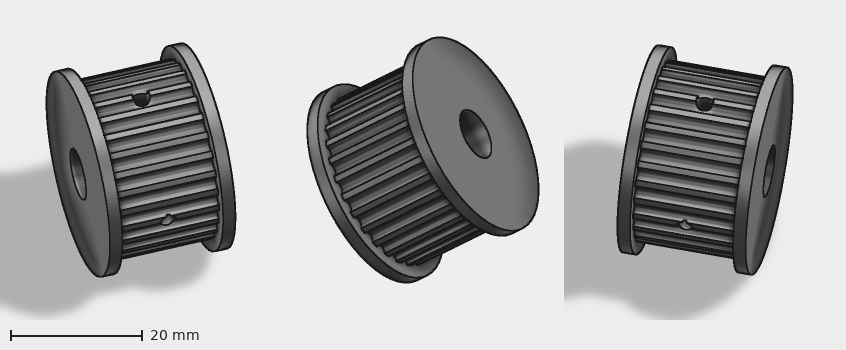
import cadquery as cq

flange_diameter = 32.0
pulley_width = 20.0
flange_thickness = 2.0
bore_diameter = 8.0

tooth_count = 29
rim_diameter = 28.0
groove_radius = 1.0

screw_hole_diameter = 2.62

rim_width = pulley_width - 2 * flange_thickness
tooth_pitch_angle = 360 / tooth_count


def centered_cylinder(diameter, width):
    """Cylinder along Y, centered on the origin."""
    return cq.Workplane("XZ", origin=(0, width / 2, 0)).circle(diameter / 2).extrude(width)


def toothed_rim():
    """Rim with half-round grooves centered on its surface; one tooth points along +Z."""
    first_groove_angle = 90 + tooth_pitch_angle / 2
    grooves = (
        cq.Workplane("XZ", origin=(0, rim_width / 2, 0))
        .polarArray(rim_diameter / 2, first_groove_angle, 360, tooth_count)
        .circle(groove_radius)
        .extrude(rim_width)
    )
    return centered_cylinder(rim_diameter, rim_width).cut(grooves)


def flange(side):
    """End flange on the +Y (side = 1) or -Y (side = -1) end."""
    center_y = side * (pulley_width - flange_thickness) / 2
    return centered_cylinder(flange_diameter, flange_thickness).translate((0, center_y, 0))


def screw_hole(plane):
    """Hole from the pulley axis outward along the normal of the plane."""
    return cq.Workplane(plane).circle(screw_hole_diameter / 2).extrude(flange_diameter / 2)


result = toothed_rim()
for end in (-1, 1):
    result = result.union(flange(end))
result = result.cut(centered_cylinder(bore_diameter, pulley_width))

for hole_plane in ("XY", "YZ"):
    result = result.cut(screw_hole(hole_plane))